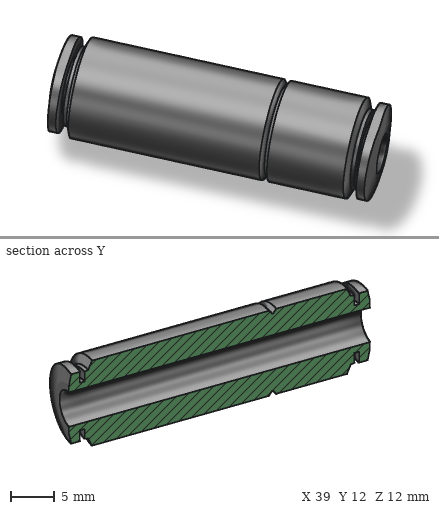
import cadquery as cq

length = 39.0
body_radius = 12.0 / 2
bore_radius = 4.75 / 2
neck_radius = 6.75 / 2

flange_depth = 1.5
collar_depth = 2.03
chamfer_depth = 2.5
body_depth = 3.0

collar_outer_radius = 4.7
collar_inner_radius = 4.85

groove_x = 6.85
groove_half_width = 0.45
groove_radius = 5.4

flange_width = 11.85
flange_height = 9.8
face_cone_depth = 0.5

half_length = length / 2


def make_body():
    """Revolve the neck, collars and grooved sleeve about the X axis."""
    neck_end = half_length - flange_depth
    collar_end = half_length - collar_depth
    chamfer_start = half_length - chamfer_depth
    body_end = half_length - body_depth
    profile = [
        (-neck_end, 0),
        (-neck_end, neck_radius),
        (-collar_end, neck_radius),
        (-collar_end, collar_outer_radius),
        (-chamfer_start, collar_inner_radius),
        (-body_end, body_radius),
        (groove_x - groove_half_width, body_radius),
        (groove_x, groove_radius),
        (groove_x + groove_half_width, body_radius),
        (body_end, body_radius),
        (chamfer_start, collar_inner_radius),
        (collar_end, collar_outer_radius),
        (collar_end, neck_radius),
        (neck_end, neck_radius),
        (neck_end, 0),
    ]
    return cq.Workplane("XY").polyline(profile).close().revolve(360, (0, 0, 0), (1, 0, 0))


def make_left_flange():
    """Trim an oblong plate with a cone so that its outer face is tapered."""
    plate = (
        cq.Workplane("YZ", origin=(-half_length, 0, 0))
        .slot2D(flange_width, flange_height)
        .extrude(flange_depth)
    )
    tip_radius = flange_width / 2
    cone_profile = [
        (-half_length, 0),
        (-half_length, neck_radius),
        (-half_length + face_cone_depth, tip_radius),
        (-half_length + face_cone_depth, body_radius),
        (-half_length + flange_depth, body_radius),
        (-half_length + flange_depth, 0),
    ]
    cone = cq.Workplane("XY").polyline(cone_profile).close().revolve(360, (0, 0, 0), (1, 0, 0))
    return plate.intersect(cone)


left_flange = make_left_flange()
right_flange = left_flange.mirror("YZ")
bore = cq.Workplane("YZ", origin=(-half_length, 0, 0)).circle(bore_radius).extrude(length)

result = make_body().union(left_flange).union(right_flange).cut(bore)